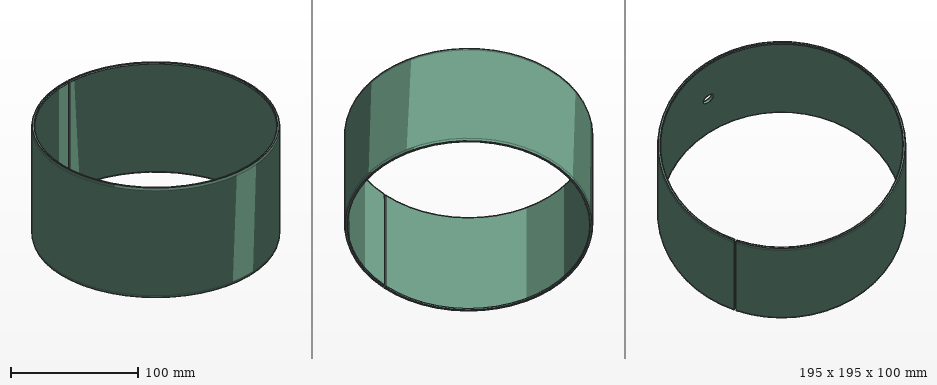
import cadquery as cq

outer_diameter = 195.0
height = 100.0
wall = 2.5
outer_bevel_width = 0.5
outer_bevel_height = 2.1
inner_bevel_width = 0.5
inner_bevel_height = 1.0
slit_angle = 1.0
hole_diameter = 10.0
hole_angle = 59.0

outer_radius = outer_diameter / 2
inner_radius = outer_radius - wall
half_height = height / 2


def split_ring():
    """Thin open ring with beveled rims, swept from -X by way of -Y and +X."""
    outer_rim = outer_radius - outer_bevel_width
    inner_rim = inner_radius + inner_bevel_width
    outer_wall_top = half_height - outer_bevel_height
    inner_wall_top = half_height - inner_bevel_height
    profile = [
        (-inner_rim, -half_height),
        (-outer_rim, -half_height),
        (-outer_radius, -outer_wall_top),
        (-outer_radius, outer_wall_top),
        (-outer_rim, half_height),
        (-inner_rim, half_height),
        (-inner_radius, inner_wall_top),
        (-inner_radius, -inner_wall_top),
    ]
    sweep_angle = 360 - slit_angle
    return cq.Workplane("XZ").polyline(profile).close().revolve(sweep_angle, (0, 0), (0, 1))


def radial_hole():
    """Round hole through one wall at mid-height, along a radius."""
    return (
        cq.Workplane("YZ")
        .circle(hole_diameter / 2)
        .extrude(outer_radius)
        .rotate((0, 0, 0), (0, 0, 1), hole_angle)
    )


result = split_ring().cut(radial_hole())